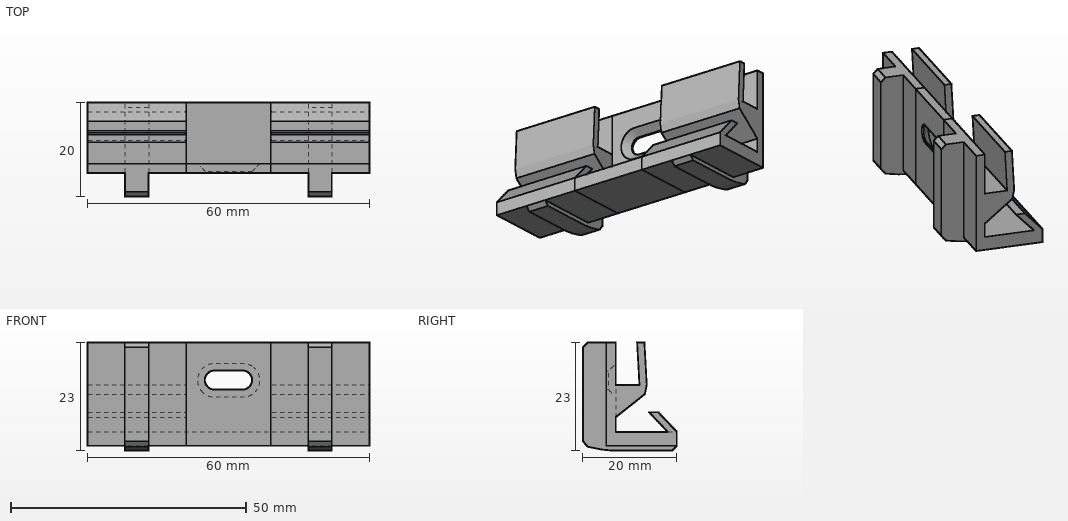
import cadquery as cq

total_length = 60.0
center_length = 18.0
clip_length = (total_length - center_length) / 2
clip_center_x = (center_length + clip_length) / 2

wall_thickness = 2.0
wall_height = 22.0
floor_thickness = 3.0
floor_depth = 15.0

hook_top_z = 7.2
hook_lean = 4.0
hook_width = 2.0

channel_floor_z = 13.0
channel_bottom_y = 7.0
arm_lean = 0.5
arm_thickness = 1.6
arm_heel_y = 8.2
arm_heel_z = 11.0
web_root_z = 6.1

rib_width = 5.0
rib_projection = 5.0
rib_drop = 1.0
rib_chamfer = 1.0
rib_nose_z = 1.0
rib_nose_drop = 1.2
rib_knee_y = 1.0
rib_knee_drop = 0.8

slot_length = 10.0
slot_height = 4.0
slot_z = 14.0
slot_lip = 0.4
countersink_angle = 45.0


def extrude_section(points, length):
    """Extrude a closed (Y, Z) outline along X, centered on X = 0."""
    return cq.Workplane("YZ").polyline(points).close().extrude(length / 2, both=True)


def make_clip_section():
    """Angle with a rear hook below and an upward channel above."""
    hook_root_y = floor_depth - hook_width
    channel_top_y = channel_bottom_y - arm_lean
    points = [
        (0, 0),
        (floor_depth, 0),
        (floor_depth, floor_thickness),
        (floor_depth - hook_lean, hook_top_z),
        (hook_root_y - hook_lean, hook_top_z),
        (hook_root_y, floor_thickness),
        (wall_thickness, floor_thickness),
        (wall_thickness, web_root_z),
        (arm_heel_y, arm_heel_z),
        (channel_bottom_y + arm_thickness, channel_floor_z),
        (channel_top_y + arm_thickness, wall_height),
        (channel_top_y, wall_height),
        (channel_bottom_y, channel_floor_z),
        (wall_thickness, channel_floor_z),
        (wall_thickness, wall_height),
        (0, wall_height),
    ]
    return extrude_section(points, clip_length)


def make_rib():
    """Rib with chamfered ends, wrapping the front and underside of the clip."""
    nose_y = rib_chamfer - rib_projection
    points = [
        (0, wall_height),
        (nose_y, wall_height),
        (-rib_projection, wall_height - rib_chamfer),
        (-rib_projection, rib_nose_z),
        (nose_y, rib_nose_z - rib_nose_drop),
        (-rib_knee_y, -rib_knee_drop),
        (rib_knee_y, -rib_drop),
        (floor_depth - rib_drop, -rib_drop),
        (floor_depth, 0),
        (0, 0),
    ]
    return extrude_section(points, rib_width)


def make_clip(center_x):
    clip = make_clip_section().union(make_rib())
    return clip.translate((center_x, 0, 0))


def make_countersunk_slot():
    through_slot = (
        cq.Workplane("XZ")
        .center(0, slot_z)
        .slot2D(slot_length, slot_height)
        .extrude(-wall_thickness)
    )
    sink_depth = wall_thickness - slot_lip
    countersink = (
        cq.Workplane("XZ", origin=(0, wall_thickness, slot_z))
        .slot2D(slot_length + 2 * sink_depth, slot_height + 2 * sink_depth)
        .extrude(sink_depth, taper=countersink_angle)
    )
    return through_slot.union(countersink)


def make_center_plate():
    """Plain angle with the countersunk slot through its wall."""
    points = [
        (0, 0),
        (floor_depth, 0),
        (floor_depth, floor_thickness),
        (wall_thickness, floor_thickness),
        (wall_thickness, wall_height),
        (0, wall_height),
    ]
    return extrude_section(points, center_length).cut(make_countersunk_slot())


center_plate = make_center_plate()
clips = [make_clip(side * clip_center_x) for side in (-1, 1)]

result = cq.Compound.makeCompound([center_plate.val(), *[clip.val() for clip in clips]])